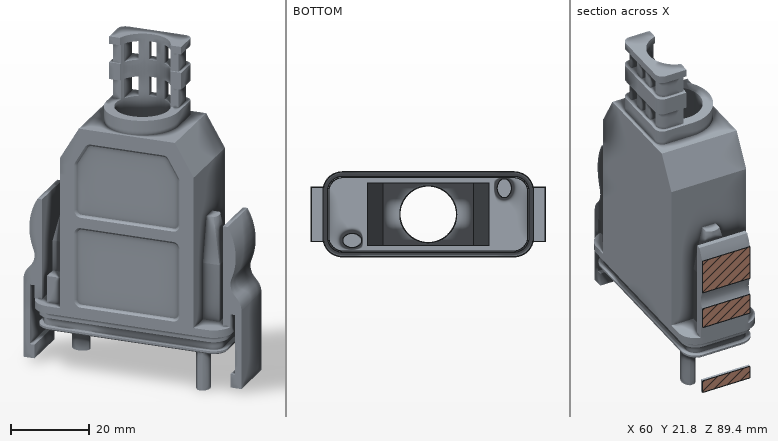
import cadquery as cq
import math


total_height = 89.4
overall_width = 60.0
hood_depth = 21.8

hood_half_width = 18.4
hood_top_half_width = 13.2
hood_shoulder_z = 59.4
hood_top_z = 68.2
wall = 2.9

panel_margin = 3.9
panel_recess = 0.6
panel_wall_angle = 45
panel_corner = 1.8
lower_panel_bottom_z = 18.8
lower_panel_top_z = 40.8
upper_panel_bottom_z = 43.6

base_bottom_z = 10.6
lip_top_z = 11.5
groove_top_z = 14.0
step_top_z = 15.7
flange_top_z = 17.8
flange_half_width = 27.0
flange_corner = 5.1
step_inset = 1.2
groove_inset = 2.4
lip_chamfer = 0.4

collar_top_z = 72.2
collar_radius = 9.9
collar_corner = 2.1
cable_bore = 14.5
tower_front_y = 1.9
tower_inset = 0.9
tower_front_inset = 0.45
middle_ring_bottom_z = 77.6
middle_ring_top_z = 82.25
top_ring_bottom_z = 87.3
center_window_width = 2.15
side_window_width = 2.9
side_window_x = 5.0

post_outer_x = 23.0
post_half_depth = 4.5
post_straight_top_z = 33.4
post_top_z = 45.4
post_top_half_depth = 2.0
post_round_diameter = 5.6
key_depth_end = 8.5
key_top_z = 25.1

lever_half_depth = 7.0
lever_inner_x = 24.9
lever_top_z = 45.4
lever_bottom_z = 1.2
lever_hook_top_z = 4.9
lever_slot_top_z = 21.4
lever_leg_thickness = 1.7
grip_top_x = 26.2
grip_bulge = (28.4, 37.5)
grip_bulge_end = (27.45, 31.65)
grip_waist = (27.0, 29.4)
grip_waist_end = (28.25, 26.55)
shoulder_start = (28.8, 25.9)
shoulder_middle = (29.7, 24.5)
shoulder_end_z = 22.9

pin_x = 19.5
pin_y = 6.7
pin_arc_diameter = 5.6
pin_thickness = 3.7
pin_end_flat = 1.2

front_y = -hood_depth / 2
lever_outer_x = overall_width / 2
lever_leg_inner_x = lever_outer_x - lever_leg_thickness


def upright_block(x_min, x_max, y_min, y_max, z_min, z_max):
    """Box given by its limits along each axis."""
    size = (x_max - x_min, y_max - y_min, z_max - z_min)
    return cq.Workplane("XY").box(*size, centered=False).translate((x_min, y_min, z_min))


def shouldered_outline(bottom_z, inset):
    """Hood outline in the XZ plane, moved inward by inset at its sides, shoulders and top."""
    rise = hood_top_z - hood_shoulder_z
    run = hood_half_width - hood_top_half_width
    slope_length = math.hypot(rise, run)
    shoulder_drop = inset * (slope_length - rise) / run
    top_shift = inset * (slope_length - run) / rise
    side = hood_half_width - inset
    top_side = hood_top_half_width - top_shift
    shoulder_z = hood_shoulder_z - shoulder_drop
    top_z = hood_top_z - inset
    return [
        (-side, bottom_z),
        (side, bottom_z),
        (side, shoulder_z),
        (top_side, top_z),
        (-top_side, top_z),
        (-side, shoulder_z),
    ]


def make_hood():
    outline = shouldered_outline(flange_top_z, 0)
    return cq.Workplane("XZ").polyline(outline).close().extrude(hood_depth / 2, both=True)


def make_cavity():
    """Hollow inside of the hood, open at the bottom."""
    outline = shouldered_outline(0, wall)
    return cq.Workplane("XZ").polyline(outline).close().extrude(hood_depth / 2 - wall, both=True)


def panel_pocket(outline):
    """Rounded pocket in the front face with sloped side walls."""
    mouth = cq.Sketch().polygon(outline + outline[:1]).vertices().fillet(panel_corner)
    return (
        cq.Workplane("XZ", origin=(0, front_y, 0))
        .placeSketch(mouth)
        .extrude(-panel_recess, taper=panel_wall_angle)
    )


def make_panels():
    side = hood_half_width - panel_margin
    lower_outline = [
        (-side, lower_panel_bottom_z),
        (side, lower_panel_bottom_z),
        (side, lower_panel_top_z),
        (-side, lower_panel_top_z),
    ]
    upper_outline = shouldered_outline(upper_panel_bottom_z, panel_margin)
    return panel_pocket(lower_outline).union(panel_pocket(upper_outline))


def base_layer(bottom_z, top_z, inset):
    """One step of the base; all steps share the same corner centres."""
    return (
        cq.Workplane("XY", origin=(0, 0, bottom_z))
        .rect(2 * (flange_half_width - inset), hood_depth - 2 * inset)
        .extrude(top_z - bottom_z)
        .edges("|Z")
        .fillet(flange_corner - inset)
    )


def make_base():
    flange = base_layer(step_top_z, flange_top_z, 0)
    step = base_layer(groove_top_z, step_top_z, step_inset)
    groove = base_layer(lip_top_z, groove_top_z, groove_inset)
    lip = base_layer(base_bottom_z, lip_top_z, step_inset).faces("<Z").chamfer(lip_chamfer)
    return flange.union(step).union(groove).union(lip)


def rear_square(inset, y_min, bottom_z, top_z):
    """Square rear part of the collar or tower, with rounded rear corners."""
    half = collar_radius - inset
    block = upright_block(-half, half, y_min, half, bottom_z, top_z)
    return block.edges("|Z and >Y").fillet(collar_corner)


def make_collar():
    height = collar_top_z - hood_top_z
    round_part = cq.Workplane("XY", origin=(0, 0, hood_top_z)).circle(collar_radius).extrude(height)
    return round_part.union(rear_square(0, 0, hood_top_z, collar_top_z))


def tower_columns(bottom_z, top_z):
    """Recessed stretch of the tower, split into columns by three windows."""
    columns = rear_square(tower_inset, tower_front_y + tower_front_inset, bottom_z, top_z)
    windows = (
        (-side_window_x, side_window_width),
        (0, center_window_width),
        (side_window_x, side_window_width),
    )
    for x, width in windows:
        half = width / 2
        columns = columns.cut(upright_block(x - half, x + half, 0, collar_radius, bottom_z, top_z))
    return columns


def make_tower():
    return (
        tower_columns(collar_top_z, middle_ring_bottom_z)
        .union(rear_square(0, tower_front_y, middle_ring_bottom_z, middle_ring_top_z))
        .union(tower_columns(middle_ring_top_z, top_ring_bottom_z))
        .union(rear_square(0, tower_front_y, top_ring_bottom_z, total_height))
    )


def make_post():
    """Post on the +X side: straight foot, taper to a round-nosed tip, and the key block behind."""
    foot = upright_block(
        hood_half_width, post_outer_x, -post_half_depth, post_half_depth, flange_top_z, post_straight_top_z
    )
    key = upright_block(
        hood_half_width, post_outer_x, post_half_depth, key_depth_end, flange_top_z, key_top_z
    )
    nose_radius = post_round_diameter / 2
    nose_start_x = hood_half_width + math.sqrt(nose_radius**2 - post_top_half_depth**2)
    taper = (
        cq.Workplane("XY", origin=(0, 0, post_straight_top_z))
        .moveTo(hood_half_width, -post_half_depth)
        .lineTo(post_outer_x, -post_half_depth)
        .lineTo(post_outer_x, post_half_depth)
        .lineTo(hood_half_width, post_half_depth)
        .close()
        .workplane(offset=post_top_z - post_straight_top_z)
        .moveTo(hood_half_width, -post_top_half_depth)
        .lineTo(nose_start_x, -post_top_half_depth)
        .threePointArc((hood_half_width + nose_radius, 0), (nose_start_x, post_top_half_depth))
        .lineTo(hood_half_width, post_top_half_depth)
        .close()
        .loft(ruled=True)
    )
    return foot.union(taper).union(key)


def make_lever():
    """Lever on the +X side: wavy grip on top, long leg with a hook at the bottom."""
    return (
        cq.Workplane("XZ")
        .moveTo(lever_inner_x, flange_top_z)
        .lineTo(lever_inner_x, lever_top_z)
        .lineTo(grip_top_x, lever_top_z)
        .threePointArc(grip_bulge, grip_bulge_end)
        .threePointArc(grip_waist, grip_waist_end)
        .lineTo(*shoulder_start)
        .threePointArc(shoulder_middle, (lever_outer_x, shoulder_end_z))
        .lineTo(lever_outer_x, lever_bottom_z)
        .lineTo(flange_half_width, lever_bottom_z)
        .lineTo(flange_half_width, lever_hook_top_z)
        .lineTo(lever_leg_inner_x, lever_hook_top_z)
        .lineTo(lever_leg_inner_x, lever_slot_top_z)
        .lineTo(flange_half_width, lever_slot_top_z)
        .lineTo(flange_half_width, flange_top_z)
        .close()
        .extrude(lever_half_depth, both=True)
    )


def make_pin():
    """Coding pin, long along X: two shallow arcs joined by flat ends."""
    arc_radius = pin_arc_diameter / 2
    mid_y = pin_thickness / 2
    end_y = pin_end_flat / 2
    end_x = math.sqrt(arc_radius**2 - (arc_radius - mid_y + end_y) ** 2)
    return (
        cq.Workplane("XY")
        .moveTo(-end_x, -end_y)
        .threePointArc((0, -mid_y), (end_x, -end_y))
        .lineTo(end_x, end_y)
        .threePointArc((0, mid_y), (-end_x, end_y))
        .close()
        .extrude(base_bottom_z)
    )


z_axis = ((0, 0, 0), (0, 0, 1))

result = make_hood().union(make_base()).cut(make_cavity()).cut(make_panels())
result = result.union(make_collar()).union(make_tower())
result = result.cut(cq.Workplane("XY").circle(cable_bore / 2).extrude(total_height))

for angle in (0, 180):
    result = result.union(make_post().rotate(*z_axis, angle))
    result = result.union(make_lever().rotate(*z_axis, angle))

result = result.union(make_pin().translate((-pin_x, pin_y, 0)))
result = result.union(make_pin().rotate(*z_axis, 90).translate((pin_x, -pin_y, 0)))